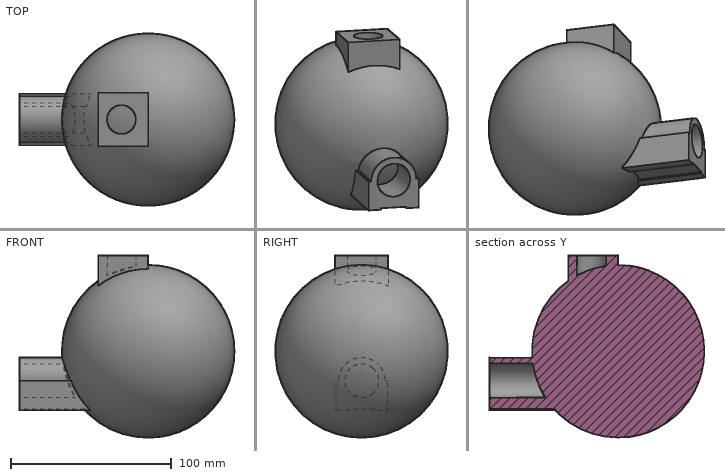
import cadquery as cq

ball_radius = 53.9

top_block_length = 31.1
top_block_width = 33.1
top_block_top_z = 59.8
top_hole_diameter = 18.0
top_hole_x = -16.6

arm_end_x = -80.1
arm_axis_z = -18.2
arm_outer_radius = 14.5
arm_hole_diameter = 21.0
base_width = 32.3
base_bottom_z = -36.7
groove_width = 16.3
groove_depth = 1.0


def make_top_block():
    """Block from the ball's equator upward, with a vertical hole."""
    block = cq.Workplane("XY").box(
        top_block_length, top_block_width, top_block_top_z, centered=(False, True, False)
    ).translate((-top_block_length, 0, 0))
    hole = (
        cq.Workplane("XY")
        .center(top_hole_x, 0)
        .circle(top_hole_diameter / 2)
        .extrude(top_block_top_z)
    )
    return block.cut(hole)


def make_arm():
    """Tube on a rectangular base that has a shallow groove underneath."""
    length = -arm_end_x
    end_plane = cq.Workplane("YZ", origin=(arm_end_x, 0, arm_axis_z))
    base_height = arm_axis_z - base_bottom_z
    base = end_plane.center(0, -base_height / 2).rect(base_width, base_height).extrude(length)
    groove = (
        end_plane.center(0, -base_height + groove_depth / 2)
        .rect(groove_width, groove_depth)
        .extrude(length)
    )
    tube = end_plane.circle(arm_outer_radius).extrude(length)
    hole = end_plane.circle(arm_hole_diameter / 2).extrude(length)
    return base.union(tube).cut(groove).cut(hole)


ball = cq.Workplane("XY").sphere(ball_radius)
result = ball.union(make_top_block()).union(make_arm())